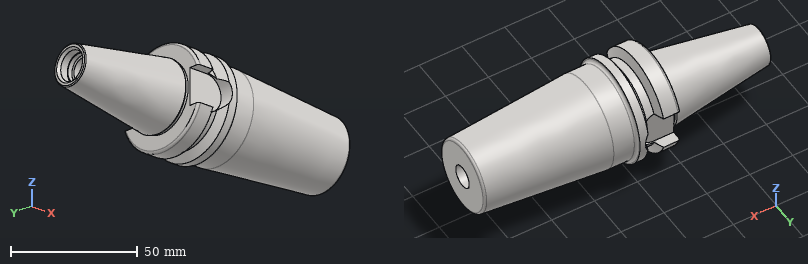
import cadquery as cq
import math

total_length = 138.4

taper_ratio = 7 / 24
taper_big_radius = 16.0
taper_end = 48.3
taper_small_radius = taper_big_radius - taper_end * taper_ratio / 2
shank_tip_chamfer = 0.4
neck_radius = 31.1 / 2
neck_start = 49.0

flange_radius = 46.0 / 2
flange_start = 50.1
flange_edge_fillet = 1.1
groove_radius = 19.0
groove_left_rim = 58.0
groove_floor_start = 59.8
groove_floor_end = 63.7
groove_right_rim = 65.9
flange_end = 69.9
flange_root_fillet = 1.4

nose_radius = 42.0 / 2
nose_taper_start = 80.8
nose_taper_angle = 4.4
nose_taper_length = total_length - nose_taper_start
nose_end_radius = nose_radius - nose_taper_length * math.tan(math.radians(nose_taper_angle))
nose_end_fillet = 1.1

through_radius = 10.1 / 2
counterbore_radius = 13.1 / 2
counterbore_depth = 5.0
inner_step_radius = 12.5 / 2
inner_step_depth = 7.2
countersink_radius = 15.0 / 2
countersink_depth = 1.4

slot_width = 16.2
slot_end = 67.3
slot_floor_distance = 16.5


def make_body():
    """Revolve the outer profile of the holder, drawn as (X, radius)."""
    fillet_mid = flange_edge_fillet * (1 - math.sqrt(0.5))
    root_mid = flange_root_fillet * (1 - math.sqrt(0.5))
    profile = (
        cq.Workplane("XY")
        .moveTo(0, 0)
        .lineTo(0, taper_small_radius - shank_tip_chamfer)
        .lineTo(shank_tip_chamfer, taper_small_radius + shank_tip_chamfer * taper_ratio / 2)
        .lineTo(taper_end, taper_big_radius)
        .lineTo(neck_start, neck_radius)
        .lineTo(flange_start, neck_radius)
        .lineTo(flange_start, flange_radius - flange_edge_fillet)
        .threePointArc(
            (flange_start + fillet_mid, flange_radius - fillet_mid),
            (flange_start + flange_edge_fillet, flange_radius),
        )
        .lineTo(groove_left_rim, flange_radius)
        .lineTo(groove_floor_start, groove_radius)
        .lineTo(groove_floor_end, groove_radius)
        .lineTo(groove_right_rim, flange_radius)
        .lineTo(flange_end, flange_radius)
        .lineTo(flange_end, nose_radius + flange_root_fillet)
        .threePointArc(
            (flange_end + root_mid, nose_radius + root_mid),
            (flange_end + flange_root_fillet, nose_radius),
        )
        .lineTo(nose_taper_start, nose_radius)
        .lineTo(total_length, nose_end_radius)
        .lineTo(total_length, 0)
        .close()
    )
    body = profile.revolve(360, (0, 0, 0), (1, 0, 0))
    return body.faces(">X").edges().fillet(nose_end_fillet)


def make_bore():
    """Revolve the stepped bore with its countersunk mouth at the shank tip."""
    profile = (
        cq.Workplane("XY")
        .moveTo(0, 0)
        .lineTo(0, countersink_radius)
        .lineTo(countersink_depth, counterbore_radius)
        .lineTo(counterbore_depth, counterbore_radius)
        .lineTo(counterbore_depth, inner_step_radius)
        .lineTo(inner_step_depth, inner_step_radius)
        .lineTo(inner_step_depth, through_radius)
        .lineTo(total_length, through_radius)
        .lineTo(total_length, 0)
        .close()
    )
    return profile.revolve(360, (0, 0, 0), (1, 0, 0))


def make_slot():
    """Round-ended drive slot on the +Y side, open toward the shank."""
    half_width = slot_width / 2
    round_center = slot_end - half_width
    return (
        cq.Workplane("XZ", origin=(0, slot_floor_distance, 0))
        .moveTo(flange_start, -half_width)
        .lineTo(round_center, -half_width)
        .threePointArc((slot_end, 0), (round_center, half_width))
        .lineTo(flange_start, half_width)
        .close()
        .extrude(-flange_radius)
    )


slot = make_slot()
result = make_body().cut(make_bore()).cut(slot).cut(slot.mirror("XZ"))